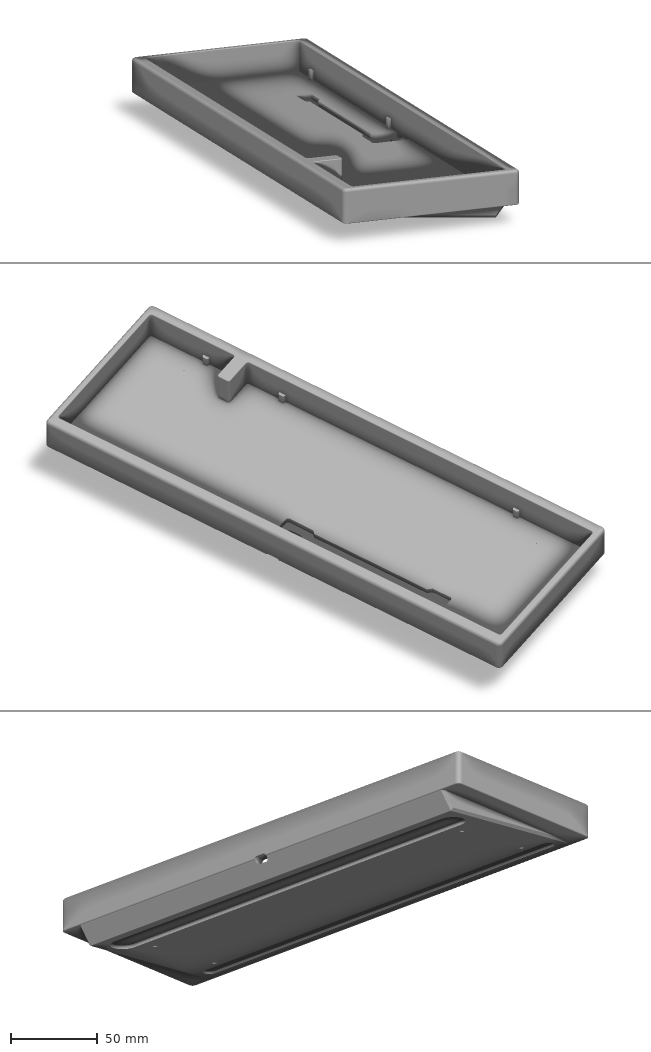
import cadquery as cq
import math


length = 314.8
width = 110.2
overall_height = 31.2
tray_height = 20.8
corner_radius = 2.8
rim_radius = 2.0
base_radius = 0.5

end_wall = 4.5
side_wall = 7.0
floor_thickness = 2.35
cavity_radius = 1.5
rim_break = 0.5

cavity_length = length - 2 * end_wall
cavity_width = width - 2 * side_wall
cavity_back = cavity_width / 2

block_x = 90.3
block_width = 8.5
block_end_y = -29.3

bump_width = 4.0
bump_reach = 2.0
bump_radius = 1.3
bump_height = 6.0
back_bumps_x = (-133.0, -19.0, 133.0)
front_bumps_x = (-100.0, 61.7, 114.3)

foot_length = 288.3
foot_back_y = 54.5
foot_low_y = 46.0
foot_slope = 6
foot_edge_break = 1.5
foot_depth = overall_height - tray_height
foot_front_y = foot_low_y - foot_depth / math.tan(math.radians(foot_slope))

foot_hole_diameter = 2.5
foot_hole_x = 121.5
foot_holes_y = (-35.5, 14.2)
foot_hole_depth = 4.0

groove_length = 275.0
grooves = ((-44.7, 8.5, 1.5), (31.5, 17.0, 2.2))

channel_y = 30.5
channel_width = 4.7
channel_depth = 3.0
channel_front = channel_y - channel_width / 2
channel_back = channel_y + channel_width / 2
bay_left_x = -104.8
bay_right_x = -91.3
bay_width = 9.5
bay_radius = 1.5
bay_front = channel_y - bay_width / 2
bay_back = channel_y + bay_width / 2

board_width = 18.0
board_front_y = 26.0
board_ledge_depth = 3.5
board_depth = 5.0
board_recess_front_y = 31.0
board_radius = 1.5
stub_left_x = -11.0
pad_width = 4.0
pad_front_length = 5.0
pad_back_length = 4.0
screw_hole_diameter = 1.6
screw_hole_depth = 2.5
screw_x = 7.0
screws_y = (34.3, 46.0)

port_width = 9.0
port_height = 4.0
port_overlap = 0.3


def box(x_min, x_max, y_min, y_max, z_min, z_max):
    """Axis-aligned block between the given limits."""
    return (
        cq.Workplane("XY", origin=((x_min + x_max) / 2, (y_min + y_max) / 2, z_min))
        .box(x_max - x_min, y_max - y_min, z_max - z_min, centered=(True, True, False))
    )


def make_tray():
    tray = cq.Workplane("XY").box(length, width, tray_height, centered=(True, True, False))
    tray = tray.edges("|Z").fillet(corner_radius)
    tray = tray.faces(">Z").edges().fillet(rim_radius)
    return tray.faces("<Z").edges().fillet(base_radius)


def make_foot():
    overlap = floor_thickness / 2
    profile = [
        (foot_back_y, overlap),
        (foot_back_y, 0),
        (foot_low_y, -foot_depth),
        (foot_front_y, 0),
        (foot_front_y, overlap),
    ]
    foot = cq.Workplane("YZ").polyline(profile).close().extrude(foot_length / 2, both=True)
    below_tray = cq.selectors.BoxSelector(
        (-length, -width, -overall_height), (length, width, -base_radius)
    )
    return foot.edges(below_tray).edges("not |X").chamfer(foot_edge_break)


def make_cavity():
    cavity = box(
        -cavity_length / 2, cavity_length / 2, -cavity_back, cavity_back,
        floor_thickness, tray_height,
    )
    block = box(
        block_x - block_width / 2, block_x + block_width / 2, -cavity_back, block_end_y,
        floor_thickness, tray_height,
    )
    return cavity.cut(block).edges("|Z").fillet(cavity_radius)


def break_inner_rim(tray):
    """Round the top edge of the cavity, including the block's top edge."""
    margin = rim_break / 2
    inner_rim = cq.selectors.BoxSelector(
        (-cavity_length / 2 - margin, -cavity_back - margin, tray_height - margin),
        (cavity_length / 2 + margin, cavity_back + margin, tray_height + margin),
    )
    return tray.edges(inner_rim).fillet(rim_break)


def make_bumps():
    bump = box(
        -bump_width / 2, bump_width / 2, -bump_reach, bump_reach,
        floor_thickness, floor_thickness + bump_height,
    )
    bump = bump.edges("|Z").fillet(bump_radius)
    bumps = cq.Workplane("XY")
    for wall_y, places in ((cavity_back, back_bumps_x), (-cavity_back, front_bumps_x)):
        for x in places:
            bumps = bumps.union(bump.translate((x, wall_y, 0)))
    return bumps


def make_channel():
    shoulder = (bay_width - channel_width) / 2
    outline = [
        (stub_left_x, channel_front),
        (stub_left_x, channel_back),
        (bay_right_x + shoulder, channel_back),
        (bay_right_x, bay_back),
        (bay_left_x, bay_back),
        (bay_left_x, bay_front),
        (bay_right_x, bay_front),
        (bay_right_x + shoulder, channel_front),
    ]
    channel = (
        cq.Workplane("XY", origin=(0, 0, floor_thickness))
        .polyline(outline).close().extrude(-channel_depth)
    )
    return channel.edges("|Z and <X").fillet(bay_radius)


def make_board_pocket():
    half = board_width / 2
    shoulder = -half - stub_left_x
    outline = [
        (half, board_front_y),
        (half, cavity_back),
        (-half, cavity_back),
        (-half, channel_back + shoulder),
        (stub_left_x, channel_back),
        (stub_left_x, channel_front),
        (-half, board_front_y),
    ]
    ledge = (
        cq.Workplane("XY", origin=(0, 0, floor_thickness))
        .polyline(outline).close().extrude(-board_ledge_depth)
        .edges("|Z and (>X or >Y)").fillet(board_radius)
    )
    recess_limits = (floor_thickness - board_depth, floor_thickness)
    across = box(
        -half, half, board_recess_front_y + pad_front_length, cavity_back - pad_back_length,
        *recess_limits,
    )
    along = box(
        pad_width - half, half - pad_width, board_recess_front_y, cavity_back,
        *recess_limits,
    )
    recess = across.union(along).edges("|Z and (not >Y)").fillet(board_radius)
    screws = (
        cq.Workplane("XY", origin=(0, 0, floor_thickness - board_ledge_depth))
        .pushPoints([(x, y) for x in (-screw_x, screw_x) for y in screws_y])
        .circle(screw_hole_diameter / 2).extrude(-screw_hole_depth)
    )
    port_z = floor_thickness - board_depth + port_height / 2
    port = (
        cq.Workplane("XZ", origin=(0, cavity_back - port_overlap, port_z))
        .slot2D(port_width, port_height).extrude(-width / 4)
    )
    return ledge.union(recess).union(screws).union(port)


def on_slope(tool, x, y):
    """Turn a tool made at the origin square to the sloping underside and move it to (x, y) there."""
    z = -math.tan(math.radians(foot_slope)) * (y - foot_front_y)
    return tool.rotate((0, 0, 0), (1, 0, 0), -foot_slope).translate((x, y, z))


def make_underside_cuts():
    hole = cq.Workplane("XY").circle(foot_hole_diameter / 2).extrude(foot_hole_depth)
    cuts = cq.Workplane("XY")
    for y in foot_holes_y:
        for x in (-foot_hole_x, foot_hole_x):
            cuts = cuts.union(on_slope(hole, x, y))
    for y, groove_width, groove_depth in grooves:
        groove = cq.Workplane("XY").slot2D(groove_length, groove_width).extrude(groove_depth)
        cuts = cuts.union(on_slope(groove, 0, y))
    return cuts


result = break_inner_rim(make_tray().union(make_foot()).cut(make_cavity()))
result = result.union(make_bumps())
result = result.cut(make_channel()).cut(make_board_pocket()).cut(make_underside_cuts())